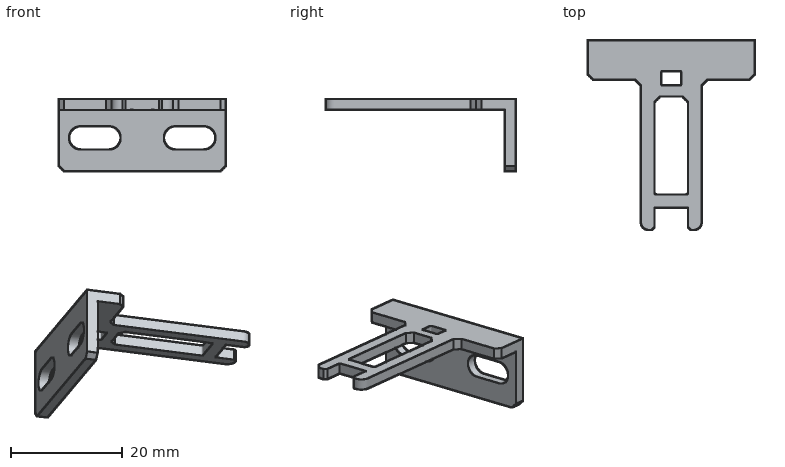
import cadquery as cq

width = 30.0
length = 34.1
height = 13.03
thickness = 2.0

head_depth = 7.15
tongue_width = 11.0
corner_chamfer = 1.0

fork_gap = 6.0
fork_depth = 4.0
tip_radius = 1.5
tip_chamfer = 0.5

long_window_width = fork_gap
long_window_back = 10.15
long_window_front = 27.65
long_window_radius = 0.3

small_window_width = 3.5
small_window_depth = 2.5
small_window_back = 5.6
small_window_radius = 0.2

slot_length = 9.2
slot_height = 4.1
slot_spacing = 17.0
slot_drop = 7.0

cut_clearance = 1.0
selection_reach = 0.01


def vertical_prism(size_x, y_back, y_front):
    """Rectangular prism centred on X, spanning the plate thickness; y values are distances from the back."""
    return (
        cq.Workplane("XY")
        .center(0, -(y_back + y_front) / 2)
        .rect(size_x, y_front - y_back)
        .extrude(-thickness)
    )


def corner_selector(x, distance):
    """Selector for the vertical edge at the given X and distance from the back."""
    return cq.selectors.BoxSelector(
        (x - selection_reach, -distance - selection_reach, -height),
        (x + selection_reach, -distance + selection_reach, height),
    )


def corner_edges(body, half_x, distance):
    """Vertical edges of the body at X = +/- half_x and at the given distance from the back."""
    left_corner = corner_selector(-half_x, distance)
    right_corner = corner_selector(half_x, distance)
    return body.edges(left_corner + right_corner)


def make_plate():
    """T-shaped horizontal plate with chamfered shoulders and a forked tip."""
    plate = vertical_prism(width, 0, head_depth).union(vertical_prism(tongue_width, 0, length))
    plate = plate.cut(vertical_prism(fork_gap, length - fork_depth, length))
    plate = corner_edges(plate, width / 2, head_depth).chamfer(corner_chamfer)
    plate = corner_edges(plate, tongue_width / 2, head_depth).chamfer(corner_chamfer)
    plate = corner_edges(plate, tongue_width / 2, length).fillet(tip_radius)
    return corner_edges(plate, fork_gap / 2, length).chamfer(tip_chamfer)


def make_long_window():
    """Window with chamfered back corners and slightly rounded front corners."""
    window = vertical_prism(long_window_width, long_window_back, long_window_front)
    window = window.edges("|Z and >Y").chamfer(corner_chamfer)
    return corner_edges(window, long_window_width / 2, long_window_front).fillet(long_window_radius)


def make_small_window():
    """Small rectangular window with slightly rounded corners."""
    window_front = small_window_back + small_window_depth
    window = vertical_prism(small_window_width, small_window_back, window_front)
    return window.edges("|Z").fillet(small_window_radius)


def make_flange():
    """Vertical flange hanging from the back of the plate, with two mounting slots."""
    flange = cq.Workplane("XY").box(width, thickness, height, centered=(True, False, False))
    flange = flange.translate((0, -thickness, -height))
    flange = flange.edges("|Y and <Z").chamfer(corner_chamfer)
    slots = (
        cq.Workplane("XZ", origin=(0, cut_clearance, -slot_drop))
        .pushPoints([(-slot_spacing / 2, 0), (slot_spacing / 2, 0)])
        .slot2D(slot_length, slot_height)
        .extrude(thickness + 2 * cut_clearance)
    )
    return flange.cut(slots)


plate = make_plate().cut(make_long_window()).cut(make_small_window())
result = plate.union(make_flange())